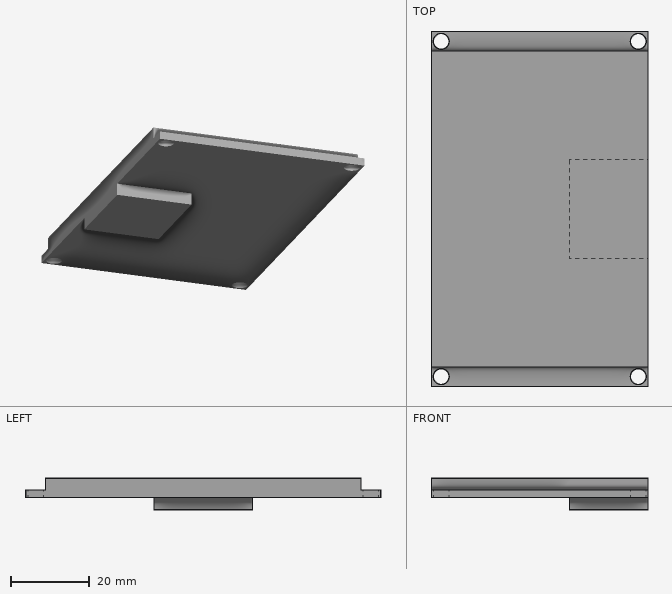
import cadquery as cq

board_width = 55.0
board_length = 90.0
board_thickness = 2.0

screen_length = 80.0
screen_thickness = 3.0

total_height = 8.0
block_width = 20.0
block_length = 25.0
block_thickness = total_height - board_thickness - screen_thickness

hole_diameter = 4.0
hole_edge_distance = 2.5


def make_board():
    """Flat board resting on Z = 0 with a through hole near each corner."""
    board = cq.Workplane("XY").box(
        board_width, board_length, board_thickness, centered=(True, True, False)
    )
    hole_spacing_x = board_width - 2 * hole_edge_distance
    hole_spacing_y = board_length - 2 * hole_edge_distance
    return (
        board.faces(">Z")
        .workplane()
        .rect(hole_spacing_x, hole_spacing_y, forConstruction=True)
        .vertices()
        .hole(hole_diameter)
    )


def make_screen():
    """Slab on the board, leaving a bare strip with holes at each Y end."""
    screen = cq.Workplane("XY").box(
        board_width, screen_length, screen_thickness, centered=(True, True, False)
    )
    return screen.translate((0, 0, board_thickness))


def make_block():
    """Block under the board, centred along Y."""
    block = cq.Workplane("XY").box(
        block_width, block_length, block_thickness, centered=(True, True, False)
    )
    return block.translate(((board_width - block_width) / 2, 0, -block_thickness))


result = make_board().union(make_screen()).union(make_block())